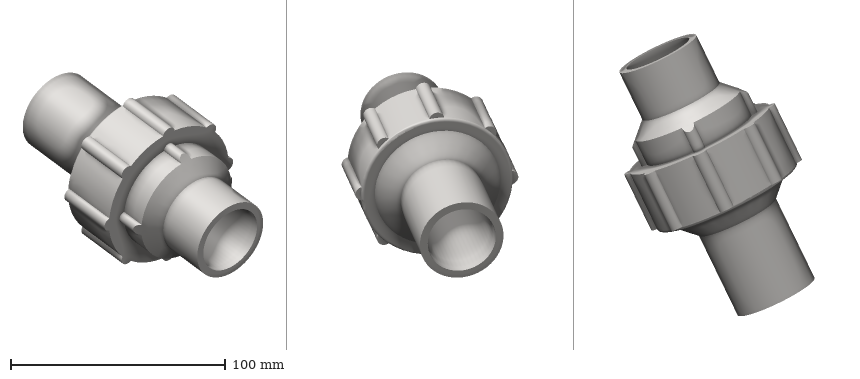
import cadquery as cq


total_length = 128.0
tube_radius = 20.0
bore_radius = 16.3
left_tube_length = 42.0
right_tube_length = 25.0

shoulder_radius = 30.0
flare_length = shoulder_radius - tube_radius

nut_radius = 36.25
nut_start = left_tube_length + flare_length
nut_length = 31.0
nut_end = nut_start + nut_length
nut_fillet = 1.5

rib_count = 8
rib_tip_radius = 39.0
rib_radius = 3.6
rib_center_radius = rib_tip_radius - rib_radius
rib_start = nut_start + nut_fillet

collar_radius = 27.25
right_tube_start = total_length - right_tube_length
collar_end = right_tube_start - (collar_radius - tube_radius)
lug_count = 4
lug_radius = 3.0
lug_center_radius = shoulder_radius - lug_radius


def cylinder(start, end, radius):
    """Solid cylinder on the X axis between two stations."""
    return cq.Workplane("YZ", origin=(start, 0, 0)).circle(radius).extrude(end - start)


def revolved_profile(points):
    """Solid of revolution about the X axis from (station, radius) points."""
    return cq.Workplane("XY").polyline(points).close().revolve(360, (0, 0, 0), (1, 0, 0))


def bars_around_axis(start, end, center_radius, bar_radius, count):
    """Round bars parallel to the X axis, evenly spaced around it."""
    return (
        cq.Workplane("YZ", origin=(start, 0, 0))
        .polarArray(center_radius, 0, 360, count)
        .circle(bar_radius)
        .extrude(end - start)
    )


def make_left_end():
    return revolved_profile([
        (0, 0),
        (0, tube_radius),
        (left_tube_length, tube_radius),
        (nut_start, shoulder_radius),
        (nut_start, 0),
    ])


def make_nut():
    body = cylinder(nut_start, nut_end, nut_radius).faces("<X").edges().fillet(nut_fillet)
    ribs = bars_around_axis(rib_start, nut_end, rib_center_radius, rib_radius, rib_count)
    return body.union(ribs)


def make_right_end():
    body = revolved_profile([
        (nut_end, 0),
        (nut_end, collar_radius),
        (collar_end, collar_radius),
        (right_tube_start, tube_radius),
        (total_length, tube_radius),
        (total_length, 0),
    ])
    lugs = bars_around_axis(nut_end, collar_end, lug_center_radius, lug_radius, lug_count)
    flare_envelope = revolved_profile([
        (nut_end, 0),
        (nut_end, shoulder_radius),
        (right_tube_start - flare_length, shoulder_radius),
        (right_tube_start, tube_radius),
        (right_tube_start, 0),
    ])
    return body.union(lugs.intersect(flare_envelope))


bore = cylinder(0, total_length, bore_radius)
result = make_left_end().union(make_nut()).union(make_right_end()).cut(bore)